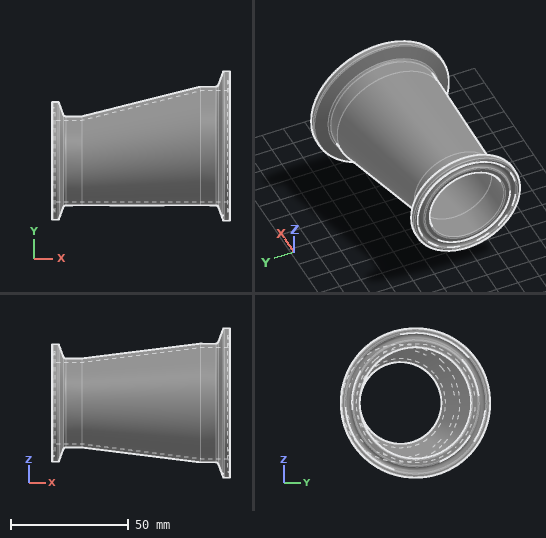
import cadquery as cq
import math

total_length = 76.2
ferrule_length = 12.7

small_tube_diameter = 38.1
small_bore_diameter = 34.8
small_flange_diameter = 50.4

large_tube_diameter = 50.8
large_bore_diameter = 47.5
large_flange_diameter = 63.9

rim_thickness = 3.0
back_angle = 20.0
edge_radius = 0.5
root_radius = 1.15
groove_inset = 3.4
groove_width = 3.0
groove_depth = 1.2

small_axis_y = (small_tube_diameter - large_tube_diameter) / 2
taper_length = total_length - 2 * ferrule_length


def ferrule(tube_diameter, bore_diameter, flange_diameter):
    """Clamp ferrule on the X axis: grooved end face at X = 0, tube towards +X."""
    tube_radius = tube_diameter / 2
    bore_radius = bore_diameter / 2
    flange_radius = flange_diameter / 2
    groove_middle = flange_radius - groove_inset
    back_run = (flange_radius - tube_radius) * math.tan(math.radians(back_angle))

    profile = (
        cq.Workplane("XY")
        .moveTo(0, bore_radius)
        .lineTo(0, groove_middle - groove_width / 2)
        .threePointArc((groove_depth, groove_middle), (0, groove_middle + groove_width / 2))
        .lineTo(0, flange_radius)
        .lineTo(rim_thickness, flange_radius)
        .lineTo(rim_thickness + back_run, tube_radius)
        .lineTo(ferrule_length, tube_radius)
        .lineTo(ferrule_length, bore_radius)
        .close()
    )
    body = profile.revolve(360, (0, 0, 0), (1, 0, 0))
    body = body.faces("%CONE").edges("%CIRCLE").edges(">X").fillet(root_radius)
    body = body.faces("%CONE").edges("%CIRCLE").edges("<X").fillet(edge_radius)
    return body.faces("<X").edges("%CIRCLE").fillet(edge_radius)


def taper(small_diameter, large_diameter):
    """Straight-sided eccentric cone between the two ferrules."""
    return (
        cq.Workplane("YZ", origin=(ferrule_length, 0, 0))
        .center(small_axis_y, 0)
        .circle(small_diameter / 2)
        .workplane(offset=taper_length)
        .center(-small_axis_y, 0)
        .circle(large_diameter / 2)
        .loft(ruled=True)
    )


small_end = ferrule(small_tube_diameter, small_bore_diameter, small_flange_diameter)
small_end = small_end.translate((0, small_axis_y, 0))

large_end = ferrule(large_tube_diameter, large_bore_diameter, large_flange_diameter)
large_end = large_end.mirror("YZ").translate((total_length, 0, 0))

reducer = taper(small_tube_diameter, large_tube_diameter)
reducer = reducer.cut(taper(small_bore_diameter, large_bore_diameter))

result = reducer.union(small_end).union(large_end)